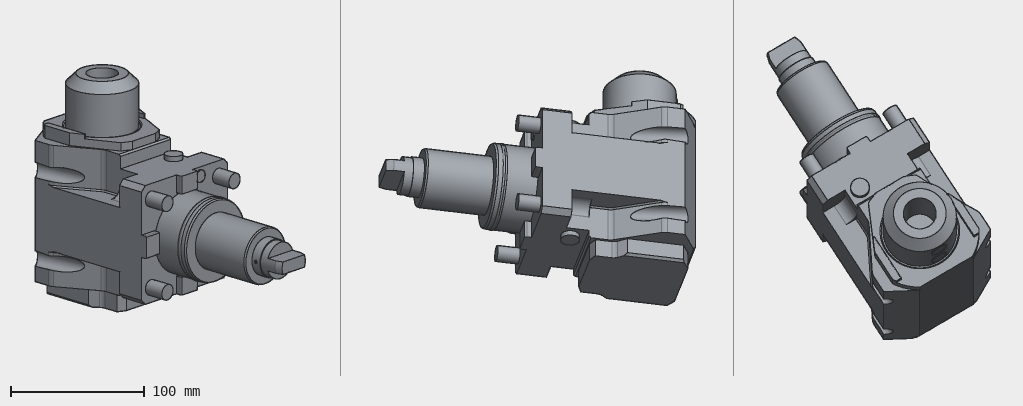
import cadquery as cq
import math

spindle_x = 37.8

half_width = 47.0
back_half = 23.7
back_bevel_x = 13.2
head_end_x = 82.5
head_top, head_bottom = 58.3, -53.3
head_end_bevel = 1.5
back_foot_bevel_x, back_foot_bevel_z = 2.8, 5.6
slab_half_height = 25.4
taper_start_x, taper_end_x = 29.1, 65.8
waist_half = 27.5
taper_blend_radius = 9.5
foot_bevel = 1.2

flange_start_x, flange_end_x = 99.9, 122.7
pocket_radius = 9.6
flange_corner_bevel = 4.2
key_end_x, key_width, key_depth = 127.8, 17.6, 14.0
key_bevel_x, key_bevel_side = 1.6, 0.5

screw_y, screw_z, screw_radius, screw_end_x = 36.7, 35.0, 6.0, 139.5
groove_radius, groove_tilt = 6.0, 8.0
groove_entry_x, groove_entry_y = 11.8, 46.5
groove_reach_back, groove_reach_front = 23.5, 58.8

pin_x, pin_y, pin_radius, pin_height = 95.0, 17.5, 7.0, 4.0
port_y, port_z, port_radius, port_height = 16.7, 40.0, 5.0, 1.0

cover_top, rail_top = 64.9, 68.5
cover_back_half, cover_half_width = 23.0, 38.0
cover_arc_radius = 44.5
cover_taper_start_x = 40.2
cover_taper_end_x, cover_taper_end_y = 77.0, 21.0
cover_end_x, cover_end_half = 80.8, 12.5
rail_inner_y, rail_start_x, rail_end_x = 32.0, 12.5, 51.0
recess_radius, recess_depth, recess_bevel = 29.0, 1.2, 1.0

nose_radius, nose_top, nose_bevel = 27.5, 105.8, 7.8
bore_radius, bore_depth = 12.2, 37.5
pad_radius, pad_low_z, pad_high_z, pad_reach = 6.3, 72.0, 89.8, 27.7

cap_bottom, cap_half_width, cap_side_bevel = -67.7, 32.2, 1.9
cap_start_x, cap_back_half, cap_side_start_x = 5.9, 23.0, 11.3
cap_taper_start_x, cap_taper_end_x, cap_waist_half = 54.0, 62.5, 25.5
cap_blend_radius = 6.5
cap_corner_x, cap_end_x, cap_end_half = 77.3, 80.4, 18.8

disc_radius, disc_end_x = 32.5, 154.6
disc_bevel_x, disc_bevel_r = 1.6, 0.7
ring_x, ring_radius, ring_bulge = 147.8, 3.0, 0.5
shank_radius, shank_end_x, shank_bevel_x, shank_bevel_r = 22.3, 206.0, 1.5, 0.7
collar_radius, collar_end_x = 15.0, 214.3
drive_radius, drive_end_x = 14.3, 221.1
tang_end_x, tang_half_thickness = 235.0, 5.0
tang_bevel_x, tang_bevel_r = 5.6, 1.6
dimple_x, dimple_radius, dimple_depth = 210.0, 1.2, 1.2

selection_margin = 2.4


def prism(half_outline, bottom, top):
    """Vertical prism; the outline lists its +Y half from low X to high X."""
    outline = half_outline + [(x, -y) for x, y in reversed(half_outline)]
    return cq.Workplane("XY", origin=(0, 0, bottom)).polyline(outline).close().extrude(top - bottom)


def box(x_range, y_range, z_range):
    sizes = [high - low for low, high in (x_range, y_range, z_range)]
    corner = (x_range[0], y_range[0], z_range[0])
    return cq.Workplane("XY", origin=corner).box(*sizes, centered=False)


def rod_x(radius, start_x, end_x, y, z):
    return cq.Workplane("YZ", origin=(start_x, y, z)).circle(radius).extrude(end_x - start_x)


def rod_z(radius, bottom, top, x, y):
    return cq.Workplane("XY", origin=(x, y, bottom)).circle(radius).extrude(top - bottom)


def with_mirror(solid, plane):
    return solid.union(solid.mirror(plane))


def in_four_corners(solid):
    """A solid in the +Y +Z corner and its mirror images around the shank axis."""
    return with_mirror(with_mirror(solid, "XZ"), "XY")


def edges_between(solid, start_x, end_x):
    """Vertical edges of a prism whose X lies between the two limits."""
    reach = 2 * half_width
    zone = cq.selectors.BoxSelector((start_x, -reach, -reach), (end_x, reach, reach))
    return solid.edges("|Z").edges(zone)


def make_slab(half_height):
    outline = [(0, back_half), (back_bevel_x, half_width), (head_end_x, half_width)]
    return prism(outline, -half_height, half_height)


def make_tapered_prism(bottom, top):
    """Head outline with blends where the taper starts and ends."""
    outline = [
        (0, back_half),
        (back_bevel_x, half_width),
        (taper_start_x, half_width),
        (taper_end_x, waist_half),
        (head_end_x, waist_half),
    ]
    tapered = prism(outline, bottom, top)
    blend_start_x = taper_start_x - selection_margin
    blend_end_x = taper_end_x + selection_margin
    return edges_between(tapered, blend_start_x, blend_end_x).fillet(taper_blend_radius)


def make_feet():
    """Sloped strips along the base of the head, kept within the slab outline."""
    foot_top = slab_half_height + foot_bevel
    head_outline = make_tapered_prism(0, foot_top).faces(">Z").wires().val()
    downward = cq.Vector(0, 0, -foot_bevel)
    foot = cq.Workplane(cq.Solid.extrudeLinear(head_outline, [], downward, -45))
    return with_mirror(foot.intersect(make_slab(foot_top)), "XY")


def make_housing():
    head = make_tapered_prism(head_bottom, head_top)
    head = head.faces(">X").edges("|Y").chamfer(head_end_bevel)
    back_foot_bevel = (
        cq.Workplane("XZ", origin=(0, half_width, 0))
        .moveTo(0, head_bottom)
        .lineTo(back_foot_bevel_x, head_bottom)
        .lineTo(0, head_bottom + back_foot_bevel_z)
        .close()
        .extrude(2 * half_width)
    )
    return head.union(make_slab(slab_half_height)).union(make_feet()).cut(back_foot_bevel)


def make_neck():
    """Cross-shaped neck whose four rounded inner corners clear the screw heads."""
    length = (head_end_x, flange_start_x)
    full = (-half_width, half_width)
    wide = box(length, full, (-slab_half_height, slab_half_height))
    tall = box(length, (-waist_half, waist_half), full)
    inner_reach = half_width - selection_margin
    inner_corners = cq.selectors.BoxSelector(
        (head_end_x, -inner_reach, -inner_reach),
        (flange_start_x, inner_reach, inner_reach),
    )
    return wide.union(tall).edges("|X").edges(inner_corners).fillet(pocket_radius)


def make_key():
    """Key at the top edge of the flange face, with slightly relieved front edges."""
    half = key_width / 2
    outline = [
        (flange_end_x, half),
        (key_end_x - key_bevel_x, half),
        (key_end_x, half - key_bevel_side),
    ]
    return prism(outline, half_width - key_depth, half_width)


def make_flange():
    full = (-half_width, half_width)
    flange = box((flange_start_x, flange_end_x), full, full)
    flange = flange.edges("|X").chamfer(flange_corner_bevel)
    for angle in (0, 90, 180, 270):
        flange = flange.union(make_key().rotate((0, 0, 0), (1, 0, 0), angle))
    return flange


def make_groove():
    """Cylinder that sinks deeper into the side of the head toward the flange."""
    tilt = math.radians(groove_tilt)
    direction = cq.Vector(math.cos(tilt), -math.sin(tilt), 0)
    entry = cq.Vector(groove_entry_x, groove_entry_y, screw_z)
    start = entry - direction * groove_reach_back
    length = groove_reach_back + groove_reach_front
    return cq.Workplane(cq.Solid.makeCylinder(groove_radius, length, start, direction))


def make_cover_plate(top):
    """Plate with arcs around the spindle at its back corners and a tapered front."""
    arc_end_x = spindle_x - math.sqrt(cover_arc_radius**2 - cover_half_width**2)
    diagonal = cover_arc_radius * math.sqrt(0.5)
    return (
        cq.Workplane("XY", origin=(0, 0, head_top))
        .moveTo(0, cover_back_half)
        .threePointArc((spindle_x - diagonal, diagonal), (arc_end_x, cover_half_width))
        .lineTo(cover_taper_start_x, cover_half_width)
        .lineTo(cover_taper_end_x, cover_taper_end_y)
        .lineTo(cover_end_x, cover_end_half)
        .lineTo(cover_end_x, -cover_end_half)
        .lineTo(cover_taper_end_x, -cover_taper_end_y)
        .lineTo(cover_taper_start_x, -cover_half_width)
        .lineTo(arc_end_x, -cover_half_width)
        .threePointArc((spindle_x - diagonal, -diagonal), (0, -cover_back_half))
        .close()
        .extrude(top - head_top)
    )


def make_cover():
    rail_zone = box((rail_start_x, rail_end_x), (rail_inner_y, half_width), (head_top, rail_top))
    rails = make_cover_plate(rail_top).intersect(with_mirror(rail_zone, "XZ"))
    recess = rod_z(recess_radius, cover_top - recess_depth, cover_top, spindle_x, 0)
    recess_rim = (
        cq.Workplane("XY", origin=(spindle_x, 0, cover_top))
        .circle(recess_radius + recess_bevel)
        .extrude(-recess_bevel, taper=45)
    )
    return make_cover_plate(cover_top).union(rails).cut(recess).cut(recess_rim)


def make_nose():
    nose = rod_z(nose_radius, head_top, nose_top, spindle_x, 0).faces(">Z").chamfer(nose_bevel)
    for pad_z in (pad_low_z, pad_high_z):
        nose = nose.union(rod_x(pad_radius, spindle_x - pad_reach, spindle_x, 0, pad_z))
    return nose.cut(rod_z(bore_radius, nose_top - bore_depth, nose_top, spindle_x, 0))


def make_cap():
    outline = [
        (cap_start_x, cap_back_half),
        (cap_side_start_x, cap_half_width),
        (cap_taper_start_x, cap_half_width),
        (cap_taper_end_x, cap_waist_half),
        (cap_corner_x, cap_waist_half),
        (cap_end_x, cap_end_half),
    ]
    cap = prism(outline, cap_bottom, head_bottom)
    blend_start_x = cap_taper_end_x - selection_margin
    blend_end_x = cap_taper_end_x + selection_margin
    cap = edges_between(cap, blend_start_x, blend_end_x).fillet(cap_blend_radius)
    return cap.faces("<Z").edges("<Y or >Y").chamfer(cap_side_bevel)


def make_shank():
    profile = [
        (flange_end_x, 0),
        (flange_end_x, disc_radius),
        (disc_end_x - disc_bevel_x, disc_radius),
        (disc_end_x, disc_radius - disc_bevel_r),
        (disc_end_x, shank_radius),
        (shank_end_x - shank_bevel_x, shank_radius),
        (shank_end_x, shank_radius - shank_bevel_r),
        (shank_end_x, collar_radius),
        (collar_end_x, collar_radius),
        (collar_end_x, drive_radius),
        (tang_end_x - tang_bevel_x, drive_radius),
        (tang_end_x, drive_radius - tang_bevel_r),
        (tang_end_x, 0),
    ]
    shank = cq.Workplane("XY").polyline(profile).close().revolve(360, (0, 0), (1, 0))

    ring_center = cq.Vector(ring_x, 0, 0)
    ring_path_radius = disc_radius + ring_bulge - ring_radius
    seal_ring = cq.Solid.makeTorus(ring_path_radius, ring_radius, ring_center, cq.Vector(1, 0, 0))
    shank = shank.union(cq.Workplane(seal_ring))

    tang_side = box(
        (drive_end_x, tang_end_x),
        (-drive_radius, drive_radius),
        (tang_half_thickness, drive_radius),
    )
    dimple = (
        cq.Workplane("XZ", origin=(dimple_x, -collar_radius, 0))
        .circle(dimple_radius)
        .extrude(-dimple_depth)
    )
    return shank.cut(with_mirror(tang_side, "XY")).cut(dimple)


screw = rod_x(screw_radius, flange_end_x, screw_end_x, screw_y, screw_z)
pin = rod_z(pin_radius, half_width, half_width + pin_height, pin_x, pin_y)
port = rod_x(port_radius, flange_end_x, flange_end_x + port_height, port_y, port_z)

result = (
    make_housing()
    .union(make_neck())
    .union(make_flange())
    .cut(in_four_corners(make_groove()))
    .union(make_cover())
    .union(make_nose())
    .union(make_cap())
    .union(make_shank())
    .union(in_four_corners(screw))
    .union(with_mirror(pin, "XY"))
    .union(port)
)